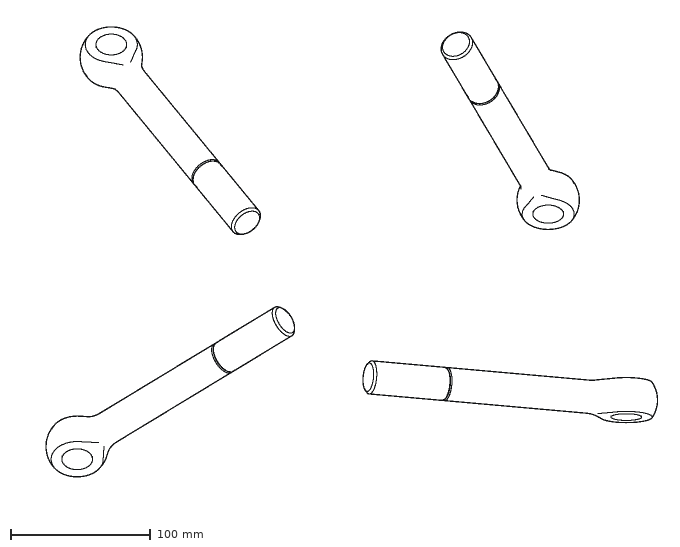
import cadquery as cq
import math

eye_radius = 22.5
eye_thickness = 25.0
hole_diameter = 22.0
shank_radius = 12.0
bolt_length = 200.0
neck_radius = 24.0

thread_length = 60.0
groove_depth = 0.8
chamfer_size = 1.75

neck_centre_r = shank_radius + neck_radius
neck_end_x = math.sqrt((eye_radius + neck_radius) ** 2 - neck_centre_r ** 2)
neck_angle = math.atan2(neck_centre_r, neck_end_x)
neck_start_x = eye_radius * math.cos(neck_angle)
neck_start_r = eye_radius * math.sin(neck_angle)
neck_mid_angle = (neck_angle + math.pi / 2) / 2
neck_mid_x = neck_end_x - neck_radius * math.cos(neck_mid_angle)
neck_mid_r = neck_centre_r - neck_radius * math.sin(neck_mid_angle)

groove_start_x = bolt_length - thread_length
groove_bottom_x = groove_start_x + groove_depth
groove_end_x = groove_bottom_x + groove_depth


def turned_body():
    """Ball, neck and shank turned about the X axis, with the V groove and end chamfer."""
    profile = (
        cq.Workplane("XZ")
        .moveTo(-eye_radius, 0)
        .threePointArc((0, eye_radius), (neck_start_x, neck_start_r))
        .threePointArc((neck_mid_x, neck_mid_r), (neck_end_x, shank_radius))
        .lineTo(groove_start_x, shank_radius)
        .lineTo(groove_bottom_x, shank_radius - groove_depth)
        .lineTo(groove_end_x, shank_radius)
        .lineTo(bolt_length - chamfer_size, shank_radius)
        .lineTo(bolt_length, shank_radius - chamfer_size)
        .lineTo(bolt_length, 0)
        .close()
    )
    return profile.revolve(360, (0, 0, 0), (1, 0, 0))


def flatten_eye(body):
    """Keep only the slab between the two parallel eye faces."""
    slab_length = 2 * (bolt_length + eye_radius)
    slab_width = 4 * eye_radius
    slab = cq.Workplane("XY").box(slab_length, slab_width, eye_thickness)
    return body.intersect(slab)


def drill_eye(body):
    """Pin hole straight through the eye along Z."""
    pin = cq.Workplane("XY").cylinder(eye_thickness, hole_diameter / 2)
    return body.cut(pin)


result = drill_eye(flatten_eye(turned_body()))